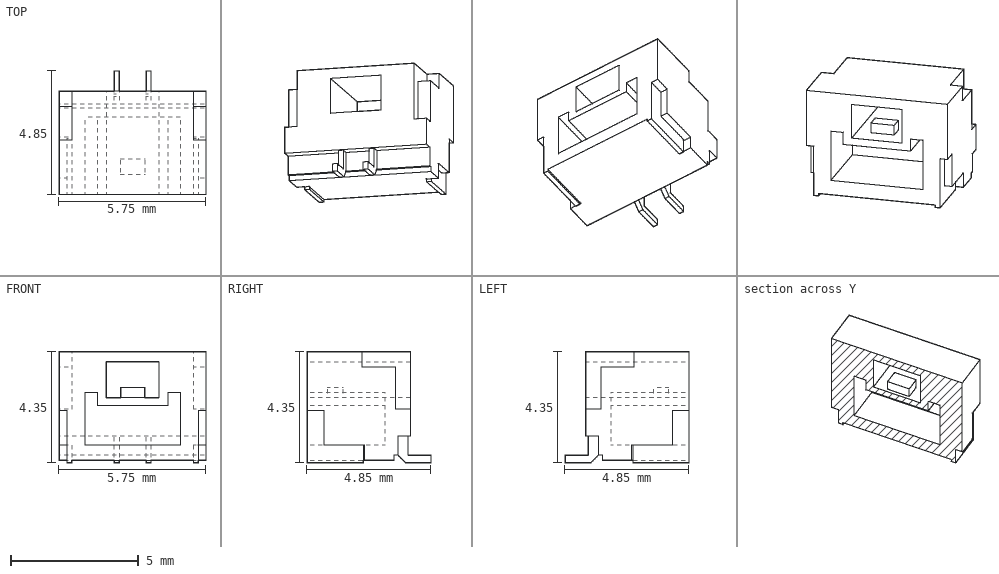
import cadquery as cq

width = 5.75
body_depth = 4.05
height = 4.35
standoff = 0.1

pin_root_y = 3.55
pin_root_z = 1.05
heel_y = 3.4
heel_z = 0.3

cavity_width = 3.75
cavity_bottom = 0.7
cavity_top = 2.75
cavity_depth = 3.05
key_width = 2.75
key_bottom = 2.25

window_width = 2.05
window_bottom = 2.55
window_top = 3.95
catch_width = 0.95
catch_height = 0.4
catch_y = 0.8
catch_length = 0.6

rear_recess_width = 0.5
rear_recess_band = 0.6
rear_recess_front_y = 2.15
rear_recess_bottom = 2.1

lug_recess_width = 0.3
lug_thickness = 0.2
lug_height = 2.05
lug_arm_depth = 0.65
lug_foot_height = 0.7
lug_foot_depth = 2.2
lug_end_gap = 0.05

pin_pitch = 1.25
pin_count = 2
pin_width = 0.2
pin_back_y = 3.95
pin_tip_y = 4.85
pin_foot_thickness = heel_z
pin_bend_y = 3.85


def side_plate(outline, x_start, thickness):
    """Extrude a closed (Y, Z) outline along +X from x_start."""
    return cq.Workplane("YZ", origin=(x_start, 0, 0)).polyline(outline).close().extrude(thickness)


def block(x_size, y_start, y_end, z_start, z_end):
    """Box centred on X = 0 between the given Y and Z limits."""
    outline = [
        (y_start, z_start),
        (y_end, z_start),
        (y_end, z_end),
        (y_start, z_end),
    ]
    return side_plate(outline, -x_size / 2, x_size)


def both_sides(left):
    """Join a left-hand shape with its mirror image."""
    return left.union(left.mirror("YZ"))


def make_housing():
    profile = [
        (0, standoff),
        (heel_y, standoff),
        (heel_y, heel_z),
        (pin_root_y, heel_z),
        (pin_root_y, pin_root_z),
        (body_depth, pin_root_z),
        (body_depth, height),
        (0, height),
    ]
    return side_plate(profile, -width / 2, width)


def make_cavity():
    pocket = block(cavity_width, 0, cavity_depth, cavity_bottom, cavity_top)
    key = block(key_width, 0, cavity_depth, key_bottom, cavity_top)
    return pocket.cut(key)


def make_window():
    opening = block(window_width, 0, body_depth, window_bottom, window_top)
    catch = block(catch_width, catch_y, catch_y + catch_length, window_bottom, window_bottom + catch_height)
    return opening.cut(catch)


def make_rear_recesses():
    outline = [
        (rear_recess_front_y, height),
        (rear_recess_front_y, height - rear_recess_band),
        (body_depth - rear_recess_band, height - rear_recess_band),
        (body_depth - rear_recess_band, rear_recess_bottom),
        (body_depth, rear_recess_bottom),
        (body_depth, height),
    ]
    return both_sides(side_plate(outline, -width / 2, rear_recess_width))


def lug_outline(foot_depth):
    return [
        (0, 0),
        (foot_depth, 0),
        (foot_depth, lug_foot_height),
        (lug_arm_depth, lug_foot_height),
        (lug_arm_depth, lug_height),
        (0, lug_height),
    ]


def make_lug_recesses():
    outline = lug_outline(lug_foot_depth + lug_end_gap)
    return both_sides(side_plate(outline, -width / 2, lug_recess_width + lug_thickness))


def make_lugs():
    outline = lug_outline(lug_foot_depth)
    return both_sides(side_plate(outline, lug_recess_width - width / 2, lug_thickness))


def make_pin(x_center):
    outline = [
        (pin_root_y, pin_root_z),
        (pin_root_y, pin_foot_thickness),
        (pin_bend_y, 0),
        (pin_tip_y, 0),
        (pin_tip_y, pin_foot_thickness),
        (pin_back_y, pin_foot_thickness),
        (pin_back_y, pin_root_z),
    ]
    return side_plate(outline, x_center - pin_width / 2, pin_width)


result = make_housing()
for opening in (make_cavity(), make_window(), make_rear_recesses(), make_lug_recesses()):
    result = result.cut(opening)
result = result.union(make_lugs())
for index in range(pin_count):
    result = result.union(make_pin((index - (pin_count - 1) / 2) * pin_pitch))